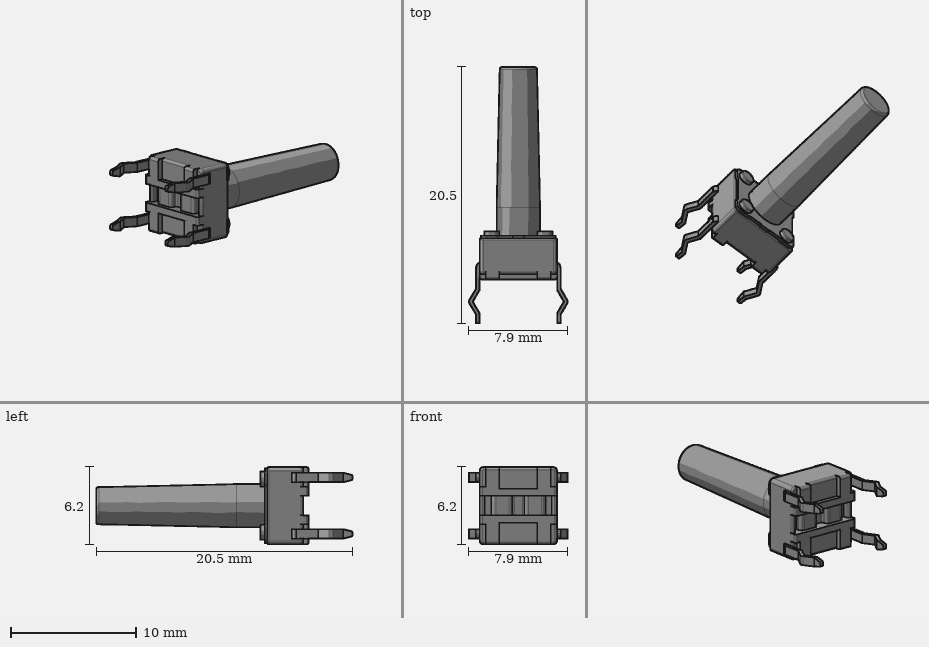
import cadquery as cq
import math


width = 6.2
half_width = width / 2
corner_radius = 0.3
shoulder_y = 3.3
shoulder_round = 0.1
rim_y = 0.43
edge_round = 0.2

recess_top_y = 1.02
slot_half_height = 0.78
window_half_width = 1.52
window_inner_z = 1.37
notch_inner_x = 2.6
notch_inner_z = 1.5

pocket_floor_y = 1.0
center_pocket_half_width = 0.47
center_pocket_round = 0.3
center_pocket_floor_round = 0.15
side_pocket_outer_x = 2.69
side_pocket_inner_x = 2.17
side_pocket_outer_round = 0.18
side_pocket_inner_round = 0.35

plate_y = 3.5
plate_half_width = 3.0
plate_corner_radius = 0.5
plate_inset = 0.12
plate_pad_x = 1.76
plate_recess_x = 1.5
plate_tab_half_width = 0.43
plate_tab_depth = 0.08

rivet_y = 3.87
rivet_radius = 0.605
rivet_offset = 2.13
rivet_round = 0.06

button_radius = 1.75
button_tip_radius = 1.5
button_straight_y = 5.8
button_tip_y = 17.0
button_tip_round = 0.2

pin_span = 7.9
pin_z = 2.25
pin_width = 0.75
pin_thickness = 0.3
pin_inner_x = half_width
pin_outer_x = pin_inner_x + pin_thickness
pin_root_x = half_width - 0.4
pin_bend_radius = 0.37
pin_bend_step = 0.05
pin_bend_y = 1.0
pin_kink_start_y = -0.85
pin_kink_y = -1.76
pin_kink_end_y = 2 * pin_kink_y - pin_kink_start_y
pin_kink_x = pin_span / 2 - pin_thickness
pin_tip_y = -3.5
pin_taper_y = -2.77
pin_tip_width = 0.39
pin_tip_round = 0.16


def box(x0, x1, y0, y1, z0, z1):
    """Box between two opposite corners."""
    return cq.Workplane("XY").box(x1 - x0, y1 - y0, z1 - z0, centered=False).translate((x0, y0, z0))


def rounded_block(bottom_y, top_y):
    """Square block with rounded upright corners and rounded bottom edges."""
    block = box(-half_width, half_width, bottom_y, top_y, -half_width, half_width)
    block = block.edges("|Y").fillet(corner_radius)
    return block.faces("<Y").edges().fillet(edge_round)


def four_ways(shape):
    """The shape with its mirror images across X = 0 and Z = 0."""
    pair = shape.union(shape.mirror("YZ"))
    return pair.union(pair.mirror("XY"))


def pocket(left_x, right_x, left_round, right_round):
    """Pocket across the slot whose mouth edges are rounded over."""
    diagonal = 1 - math.sqrt(0.5)
    return (
        cq.Workplane("XY", origin=(0, 0, -slot_half_height))
        .moveTo(left_x - left_round, rim_y)
        .threePointArc(
            (left_x - left_round * diagonal, rim_y + left_round * diagonal),
            (left_x, rim_y + left_round),
        )
        .lineTo(left_x, pocket_floor_y)
        .lineTo(right_x, pocket_floor_y)
        .lineTo(right_x, rim_y + right_round)
        .threePointArc(
            (right_x + right_round * diagonal, rim_y + right_round * diagonal),
            (right_x + right_round, rim_y),
        )
        .close()
        .extrude(2 * slot_half_height)
    )


def make_housing():
    """Main block standing on two feet, with recesses and slot pockets."""
    feet = rounded_block(0, shoulder_y)
    feet = feet.cut(box(-width, width, 0, recess_top_y, -slot_half_height, slot_half_height))
    feet = feet.cut(four_ways(box(0, window_half_width, 0, recess_top_y, window_inner_z, width)))
    feet = feet.cut(four_ways(box(notch_inner_x, width, 0, recess_top_y, notch_inner_z, width)))
    housing = feet.union(rounded_block(rim_y, shoulder_y))
    housing = housing.faces(">Y").edges().fillet(shoulder_round)

    side_pocket = pocket(
        -side_pocket_outer_x, -side_pocket_inner_x, side_pocket_outer_round, side_pocket_inner_round
    )
    housing = housing.cut(side_pocket).cut(side_pocket.mirror("YZ"))
    center_pocket = pocket(
        -center_pocket_half_width, center_pocket_half_width, center_pocket_round, center_pocket_round
    )
    center_pocket = center_pocket.faces(">Y").edges("|Z").fillet(center_pocket_floor_round)
    return housing.cut(center_pocket)


def make_plate():
    """Cover plate with corner pads, shallow side recesses and two middle tabs."""
    plate = box(
        -plate_half_width, plate_half_width, shoulder_y, plate_y, -plate_half_width, plate_half_width
    )
    plate = plate.edges("|Y").fillet(plate_corner_radius)

    recess_edge = plate_half_width - plate_inset
    middle_x = (plate_pad_x + plate_recess_x) / 2
    middle_z = plate_half_width - plate_inset / 2
    recess = (
        cq.Workplane("XZ", origin=(0, plate_y, 0))
        .moveTo(plate_pad_x, plate_half_width)
        .spline(
            [(middle_x, middle_z), (plate_recess_x, recess_edge)],
            tangents=[(-1, 0), (-1, 0)],
            includeCurrent=True,
        )
        .lineTo(-plate_recess_x, recess_edge)
        .spline(
            [(-middle_x, middle_z), (-plate_pad_x, plate_half_width)],
            tangents=[(-1, 0), (-1, 0)],
            includeCurrent=True,
        )
        .close()
        .extrude(plate_y - shoulder_y)
    )
    for quarter_turn in range(4):
        plate = plate.cut(recess.rotate((0, 0, 0), (0, 1, 0), 90 * quarter_turn))

    tab_reach = recess_edge + plate_tab_depth
    return plate.union(
        box(-plate_tab_half_width, plate_tab_half_width, shoulder_y, plate_y, -tab_reach, tab_reach)
    )


def make_rivet():
    """One rivet head on the cover plate."""
    return (
        cq.Workplane("XZ", origin=(rivet_offset, rivet_y, rivet_offset))
        .circle(rivet_radius)
        .extrude(rivet_y - shoulder_y)
        .faces(">Y")
        .edges()
        .fillet(rivet_round)
    )


def make_button():
    """Straight then tapered round button with a rounded tip."""
    return (
        cq.Workplane("XY")
        .moveTo(0, shoulder_y)
        .lineTo(button_radius, shoulder_y)
        .lineTo(button_radius, button_straight_y)
        .lineTo(button_tip_radius, button_tip_y)
        .lineTo(0, button_tip_y)
        .close()
        .revolve(360, (0, 0, 0), (0, 1, 0))
        .faces(">Y")
        .edges()
        .fillet(button_tip_round)
    )


def make_pin():
    """Kinked sheet-metal pin on the +X, +Z corner, tapered at the tip."""
    slope = math.atan2(pin_kink_x - pin_inner_x, pin_kink_start_y - pin_kink_y)
    bend_shift = pin_thickness * math.tan(slope / 2)
    round_x = pin_kink_x + pin_thickness * math.cos(slope)
    round_dy = pin_thickness * math.sin(slope)
    bend_center_x = pin_outer_x - pin_bend_step - pin_bend_radius
    bend_diagonal = pin_bend_radius * math.sqrt(0.5)
    strip = (
        cq.Workplane("XY", origin=(0, 0, pin_z - pin_width / 2))
        .moveTo(pin_root_x, pin_bend_y)
        .lineTo(pin_root_x, pin_bend_y + pin_bend_radius)
        .lineTo(bend_center_x, pin_bend_y + pin_bend_radius)
        .threePointArc(
            (bend_center_x + bend_diagonal, pin_bend_y + bend_diagonal),
            (bend_center_x + pin_bend_radius, pin_bend_y),
        )
        .lineTo(pin_outer_x, pin_bend_y)
        .lineTo(pin_outer_x, pin_kink_start_y + bend_shift)
        .lineTo(round_x, pin_kink_y + round_dy)
        .threePointArc((pin_kink_x + pin_thickness, pin_kink_y), (round_x, pin_kink_y - round_dy))
        .lineTo(pin_outer_x, pin_kink_end_y - bend_shift)
        .lineTo(pin_outer_x, pin_tip_y)
        .lineTo(pin_inner_x, pin_tip_y)
        .lineTo(pin_inner_x, pin_kink_end_y)
        .lineTo(pin_kink_x, pin_kink_y)
        .lineTo(pin_inner_x, pin_kink_start_y)
        .lineTo(pin_inner_x, pin_bend_y)
        .close()
        .extrude(pin_width)
    )
    blank_top_y = pin_bend_y + pin_bend_radius
    tapered_blank = (
        cq.Workplane("YZ")
        .moveTo(blank_top_y, pin_z - pin_width / 2)
        .lineTo(blank_top_y, pin_z + pin_width / 2)
        .lineTo(pin_taper_y, pin_z + pin_width / 2)
        .lineTo(pin_tip_y, pin_z + pin_tip_width / 2)
        .lineTo(pin_tip_y, pin_z - pin_tip_width / 2)
        .lineTo(pin_taper_y, pin_z - pin_width / 2)
        .close()
        .extrude(width)
        .faces("<Y")
        .edges("|X")
        .fillet(pin_tip_round)
    )
    return strip.intersect(tapered_blank)


result = (
    make_housing()
    .union(make_plate())
    .union(four_ways(make_rivet()))
    .union(make_button())
    .union(four_ways(make_pin()))
)